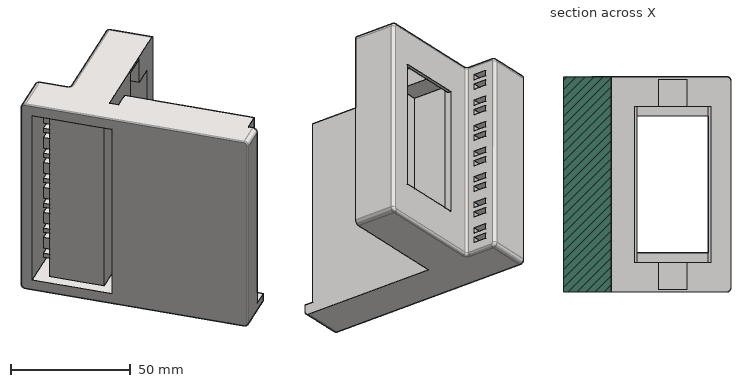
import cadquery as cq

plate_width = 100.0
plate_height = 90.0
plate_depth = 20.0
corner_radius = 2.0
front_edge_radius = 0.5

total_depth = 70.0
tower_left = 15.0
tower_right = 35.0
rim_radius = 1.3
inner_corner_radius = 1.0

frame_wall = 5.0
pocket_right = 40.0
pocket_depth = 5.0
block_left = 11.0

grille_wall = 5.0
vent_count = 7
vent_slot_height = 2.5
vent_rib_height = 2.0

groove_width = 4.0
groove_depth = 8.0

window_front = 30.8
window_depth = 29.6
window_height = 57.0
bezel_thickness = 1.5
glass_thickness = 1.5
recess_margin = 1.2
recess_height = 65.0
channel_depth = 11.8
channel_floor = 1.2

middle_z = plate_height / 2
pocket_height = plate_height - 2 * frame_wall
window_middle = window_front + window_depth / 2


def block(x_range, y_range, z_range):
    """Box spanning the given (low, high) pairs."""
    spans = (x_range, y_range, z_range)
    sizes = [high - low for low, high in spans]
    corner = tuple(low for low, high in spans)
    return cq.Workplane("XY").box(*sizes, centered=False).translate(corner)


def around(middle, size):
    """(low, high) pair of a span centred on a value."""
    return (middle - size / 2, middle + size / 2)


def make_body():
    """Plate and tower in one piece, with their rounded edges."""
    full_height = (0, plate_height)
    plate = block((0, plate_width), (0, plate_depth), full_height)
    plate = plate.edges("|Y").fillet(corner_radius)
    tower = block((tower_left, tower_right), (plate_depth / 2, total_depth), full_height)
    tower = tower.edges("|X and >Y").fillet(corner_radius)
    body = plate.union(tower).clean()

    inner_corner = cq.selectors.NearestToPointSelector((tower_left, plate_depth, middle_z))
    body = body.edges(inner_corner).fillet(inner_corner_radius)

    left_edge = cq.selectors.NearestToPointSelector((0, plate_depth, middle_z))
    body = body.edges(left_edge).fillet(rim_radius)
    return body.faces("<Y").edges().fillet(front_edge_radius)


def make_pocket():
    """Shallow front pocket plus the passage to the right of the inner block."""
    z_range = around(middle_z, pocket_height)
    pocket = block((frame_wall, pocket_right), (0, pocket_depth), z_range)
    passage = block((tower_right, pocket_right), (0, plate_depth), z_range)
    hollow = block((frame_wall, block_left), (0, plate_depth - grille_wall), z_range)
    return pocket.union(passage).union(hollow)


def make_vents():
    """Evenly spaced slot pairs through the grille wall."""
    pair_height = 2 * vent_slot_height + vent_rib_height
    pitch = (pocket_height - pair_height) / (vent_count - 1)
    y_range = (plate_depth - grille_wall, plate_depth)
    slots = cq.Workplane("XY")
    for index in range(vent_count):
        pair_bottom = frame_wall + index * pitch
        for slot_bottom in (pair_bottom, pair_bottom + vent_slot_height + vent_rib_height):
            z_range = (slot_bottom, slot_bottom + vent_slot_height)
            slots = slots.add(block((frame_wall, block_left), y_range, z_range))
    return slots.combine()


def make_grooves():
    """Two guide grooves running down from the top of the plate."""
    y_range = (plate_depth - groove_depth, plate_depth)
    z_range = (frame_wall, plate_height)
    left = block((tower_right, tower_right + groove_width), y_range, z_range)
    right = block((plate_width - groove_width, plate_width), y_range, z_range)
    return left.union(right)


def make_display_opening():
    """Window, glass seat, board recess and wiring channel, open to the right."""
    glass_left = tower_left + bezel_thickness
    board_left = glass_left + glass_thickness
    window_y = around(window_middle, window_depth)
    board_y = around(window_middle, window_depth + 2 * recess_margin)
    recess_z = around(middle_z, recess_height)
    channel_z = around(middle_z, plate_height - 2 * channel_floor)

    window = block((tower_left, glass_left), window_y, around(middle_z, window_height))
    glass_seat = block((glass_left, board_left), window_y, recess_z)
    board = block((board_left, tower_right), board_y, recess_z)
    channel = block((board_left, tower_right), around(window_middle, channel_depth), channel_z)
    return window.union(glass_seat).union(board).union(channel)


result = make_body()
for cutter in (make_pocket(), make_vents(), make_grooves(), make_display_opening()):
    result = result.cut(cutter)